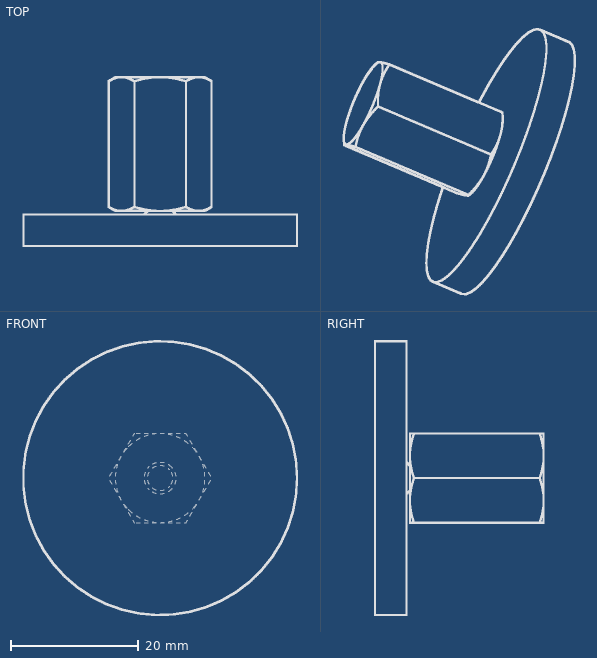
import cadquery as cq
import math

disc_diameter = 43.0
disc_thickness = 5.0

boss_base_diameter = 5.0
boss_height = 0.5
boss_tip_diameter = boss_base_diameter - 2 * boss_height

nut_width = 14.0
nut_length = 21.0
nut_chamfer_angle = 30.0
nut_start = disc_thickness + boss_height
nut_sides = 6
nut_corner_diameter = nut_width / math.cos(math.pi / nut_sides)


def revolve_about_y(profile_points):
    """Turn a closed outline of (radius, Y) points about the Y axis."""
    return cq.Workplane("XY").polyline(profile_points).close().revolve(360, (0, 0), (0, 1))


def make_disc():
    """Plain round disc with the conical boss on its back face."""
    return revolve_about_y([
        (0, 0),
        (disc_diameter / 2, 0),
        (disc_diameter / 2, disc_thickness),
        (boss_base_diameter / 2, disc_thickness),
        (boss_tip_diameter / 2, nut_start),
        (0, nut_start),
    ])


def make_nut():
    """Hexagonal prism whose corners are cut by a cone at both ends."""
    nut_end = nut_start + nut_length
    hexagon = (
        cq.Workplane("XZ", origin=(0, nut_start, 0))
        .polygon(nut_sides, nut_corner_diameter)
        .extrude(-nut_length)
    )
    flat_radius = nut_width / 2
    corner_radius = nut_corner_diameter / 2
    chamfer_height = (corner_radius - flat_radius) * math.tan(math.radians(nut_chamfer_angle))
    chamfer_envelope = revolve_about_y([
        (0, nut_start),
        (flat_radius, nut_start),
        (corner_radius, nut_start + chamfer_height),
        (corner_radius, nut_end - chamfer_height),
        (flat_radius, nut_end),
        (0, nut_end),
    ])
    return hexagon.intersect(chamfer_envelope).solids()


disc = make_disc()
nut = make_nut()

result = cq.Compound.makeCompound([disc.val(), nut.val()])